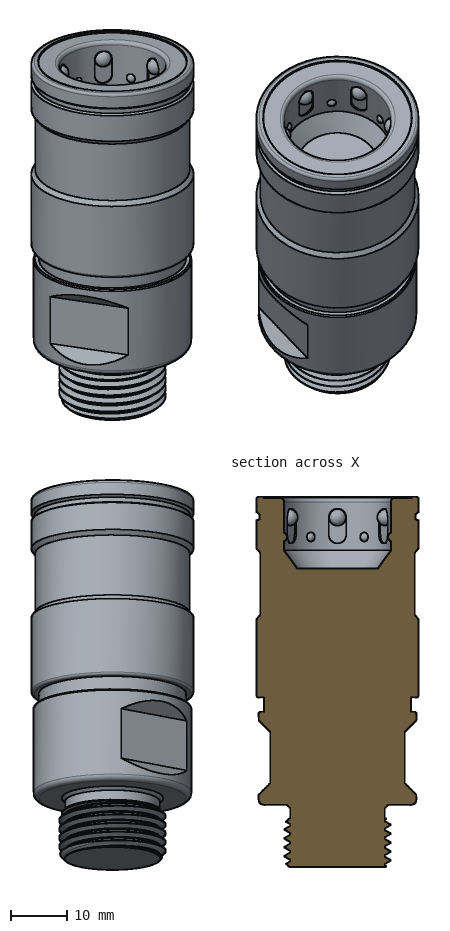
import cadquery as cq
import math

TOTAL_LENGTH = 66.1

THREAD_PITCH = 25.4 / 16
THREAD_RADIUS = 19.05 / 2
THREAD_TOP_Z = 8.75
THREAD_END_CHAMFER = 1.0
THREAD_FLANK_HALF_ANGLE = 30.0
THREAD_CREST_WIDTH = 0.12
THREAD_OVERLAP = 0.05
CREST_Z_ON_X_AXIS = 0.8
CORE_RADIUS = 8.45
CORE_FLARE = 0.6

BODY_BOTTOM_Z = 11.1
BODY_TOP_Z = 27.75
BODY_RADIUS = 14.1
BODY_BOTTOM_FILLET = 1.0
BODY_TOP_CHAMFER = 0.25
ACROSS_FLATS = 24.0
FLAT_BOTTOM_Z = 15.0
FLAT_TOP_Z = 24.1

GAP_RADIUS = 13.15
SLEEVE_RADIUS = 14.5
SLEEVE_BOTTOM_Z = 30.25
SLEEVE_BOTTOM_FILLET = 0.5
GRIP_RADIUS = 13.8
GRIP_BOTTOM_Z = 45.05
GRIP_TOP_Z = 56.05
GRIP_BEVEL_HEIGHT = 0.85
GROOVE_DEPTH = 0.55
GROOVE_LOWER_BEVEL_HEIGHT = 0.25
GROOVE_UPPER_BEVEL_HEIGHT = 0.4
GROOVE_BOTTOM_Z = 61.85
GROOVE_TOP_Z = 63.35
SLEEVE_TOP_FILLET = 0.5

MOUTH_FACE_RADIUS = 13.2
MOUTH_RIM_RADIUS = 13.3
MOUTH_RECESS = 0.2
MOUTH_Z = TOTAL_LENGTH - MOUTH_RECESS

SOCKET_RADIUS = 9.54
SOCKET_MOUTH_FILLET = 0.7
SOCKET_DEPTH = 9.4
SOCKET_FLOOR_RADIUS = 7.2
SOCKET_CONE_HEIGHT = 3.2

BALL_COUNT = 6
BALL_RADIUS = 1.5
BALL_CENTRE_RADIUS = 9.92
BALL_DEPTH = 3.5
SLOT_END_DEPTH = 6.6
SLOT_END_RADIUS = 1.55
SLOT_FLOOR_RADIUS = 9.75
DETENT_RADIUS = 0.9
DETENT_CENTRE_RADIUS = 9.9
DETENT_DEPTH = 7.0


def outer_body():
    """Everything turned on the outside, without the thread ridge."""
    groove_radius = SLEEVE_RADIUS - GROOVE_DEPTH
    diag = math.sqrt(0.5)
    fillet = BODY_BOTTOM_FILLET
    lip = SLEEVE_BOTTOM_FILLET
    rim = SLEEVE_TOP_FILLET
    profile = (
        cq.Workplane("XZ")
        .moveTo(0, 0)
        .lineTo(CORE_RADIUS, 0)
        .lineTo(CORE_RADIUS, BODY_BOTTOM_Z - CORE_FLARE)
        .lineTo(CORE_RADIUS + CORE_FLARE, BODY_BOTTOM_Z)
        .lineTo(BODY_RADIUS - fillet, BODY_BOTTOM_Z)
        .threePointArc(
            (BODY_RADIUS - fillet * (1 - diag), BODY_BOTTOM_Z + fillet * (1 - diag)),
            (BODY_RADIUS, BODY_BOTTOM_Z + fillet),
        )
        .lineTo(BODY_RADIUS, BODY_TOP_Z - BODY_TOP_CHAMFER)
        .lineTo(BODY_RADIUS - BODY_TOP_CHAMFER, BODY_TOP_Z)
        .lineTo(GAP_RADIUS, BODY_TOP_Z)
        .lineTo(GAP_RADIUS, SLEEVE_BOTTOM_Z)
        .lineTo(SLEEVE_RADIUS - lip, SLEEVE_BOTTOM_Z)
        .threePointArc(
            (SLEEVE_RADIUS - lip * (1 - diag), SLEEVE_BOTTOM_Z + lip * (1 - diag)),
            (SLEEVE_RADIUS, SLEEVE_BOTTOM_Z + lip),
        )
        .lineTo(SLEEVE_RADIUS, GRIP_BOTTOM_Z - GRIP_BEVEL_HEIGHT)
        .lineTo(GRIP_RADIUS, GRIP_BOTTOM_Z)
        .lineTo(GRIP_RADIUS, GRIP_TOP_Z)
        .lineTo(SLEEVE_RADIUS, GRIP_TOP_Z + GRIP_BEVEL_HEIGHT)
        .lineTo(SLEEVE_RADIUS, GROOVE_BOTTOM_Z)
        .lineTo(groove_radius, GROOVE_BOTTOM_Z + GROOVE_LOWER_BEVEL_HEIGHT)
        .lineTo(groove_radius, GROOVE_TOP_Z - GROOVE_UPPER_BEVEL_HEIGHT)
        .lineTo(SLEEVE_RADIUS, GROOVE_TOP_Z)
        .lineTo(SLEEVE_RADIUS, TOTAL_LENGTH - rim)
        .threePointArc(
            (SLEEVE_RADIUS - rim * (1 - diag), TOTAL_LENGTH - rim * (1 - diag)),
            (SLEEVE_RADIUS - rim, TOTAL_LENGTH),
        )
        .lineTo(MOUTH_RIM_RADIUS, TOTAL_LENGTH)
        .lineTo(MOUTH_FACE_RADIUS, MOUTH_Z)
        .lineTo(0, MOUTH_Z)
        .close()
    )
    return profile.revolve(360, (0, 0, 0), (0, 1, 0))


def thread_ridge():
    """Right-hand helical ridge, trimmed to a cylinder chamfered at both ends."""
    root_radius = CORE_RADIUS - THREAD_OVERLAP
    half_crest = THREAD_CREST_WIDTH / 2
    flank_rise = (THREAD_RADIUS - root_radius) * math.tan(math.radians(THREAD_FLANK_HALF_ANGLE))
    half_root = half_crest + flank_rise
    start_z = CREST_Z_ON_X_AXIS - 2 * THREAD_PITCH
    turns = math.ceil((THREAD_TOP_Z - start_z) / THREAD_PITCH) + 1
    helix = cq.Wire.makeHelix(THREAD_PITCH, turns * THREAD_PITCH, root_radius)
    ridge = (
        cq.Workplane("XZ")
        .moveTo(root_radius, -half_root)
        .lineTo(THREAD_RADIUS, -half_crest)
        .lineTo(THREAD_RADIUS, half_crest)
        .lineTo(root_radius, half_root)
        .close()
        .sweep(cq.Workplane(helix), isFrenet=True)
        .translate((0, 0, start_z))
    )
    envelope = (
        cq.Workplane("XY")
        .circle(THREAD_RADIUS + THREAD_OVERLAP)
        .extrude(THREAD_TOP_Z)
        .edges()
        .chamfer(THREAD_END_CHAMFER)
    )
    return ridge.intersect(envelope)


def wrench_flat_cuts():
    """Two opposite flats facing -Y and +Y, with 45 degree run-outs."""
    flat_y = ACROSS_FLATS / 2
    reach = SLEEVE_RADIUS - flat_y
    cut = (
        cq.Workplane("YZ")
        .moveTo(flat_y, FLAT_BOTTOM_Z)
        .lineTo(flat_y + reach, FLAT_BOTTOM_Z - reach)
        .lineTo(flat_y + reach, FLAT_TOP_Z + reach)
        .lineTo(flat_y, FLAT_TOP_Z)
        .close()
        .extrude(SLEEVE_RADIUS, both=True)
    )
    return cut.union(cut.mirror("XZ"))


def socket_cut():
    """Bore with a rounded mouth and a conical bottom ending in a flat floor."""
    cone_top_z = MOUTH_Z - SOCKET_DEPTH
    floor_z = cone_top_z - SOCKET_CONE_HEIGHT
    fillet = SOCKET_MOUTH_FILLET
    mid = fillet * (1 - math.sqrt(0.5))
    return (
        cq.Workplane("XZ")
        .moveTo(0, floor_z)
        .lineTo(SOCKET_FLOOR_RADIUS, floor_z)
        .lineTo(SOCKET_RADIUS, cone_top_z)
        .lineTo(SOCKET_RADIUS, MOUTH_Z - fillet)
        .threePointArc(
            (SOCKET_RADIUS + mid, MOUTH_Z - mid),
            (SOCKET_RADIUS + fillet, MOUTH_Z),
        )
        .lineTo(0, MOUTH_Z)
        .close()
        .revolve(360, (0, 0, 0), (0, 1, 0))
    )


def around_axis(shape, first_angle):
    """Copies of a shape evenly spaced round Z, one per locking ball."""
    step = 360 / BALL_COUNT
    return [shape.rotate((0, 0, 0), (0, 0, 1), first_angle + i * step) for i in range(BALL_COUNT)]


def ball_slot():
    """Radial slot along Z on the +X side of the socket wall."""
    width = 2 * SLOT_END_RADIUS
    length = SLOT_END_DEPTH - BALL_DEPTH + width
    middle_z = MOUTH_Z - (SLOT_END_DEPTH + BALL_DEPTH) / 2
    inner_radius = SOCKET_RADIUS - SLOT_END_RADIUS
    return (
        cq.Workplane("YZ", origin=(inner_radius, 0, middle_z))
        .slot2D(length, width, 90)
        .extrude(SLOT_FLOOR_RADIUS - inner_radius)
    )


def ball(radius, centre_radius, depth):
    """Ball centred on the +X side at a depth below the mouth."""
    return cq.Workplane("XY").sphere(radius).translate((centre_radius, 0, MOUTH_Z - depth))


result = outer_body().union(thread_ridge()).cut(wrench_flat_cuts()).cut(socket_cut())
for slot in around_axis(ball_slot(), 0):
    result = result.cut(slot)
for locking_ball in around_axis(ball(BALL_RADIUS, BALL_CENTRE_RADIUS, BALL_DEPTH), 0):
    result = result.union(locking_ball)
half_step = 180 / BALL_COUNT
for detent in around_axis(ball(DETENT_RADIUS, DETENT_CENTRE_RADIUS, DETENT_DEPTH), half_step):
    result = result.union(detent)